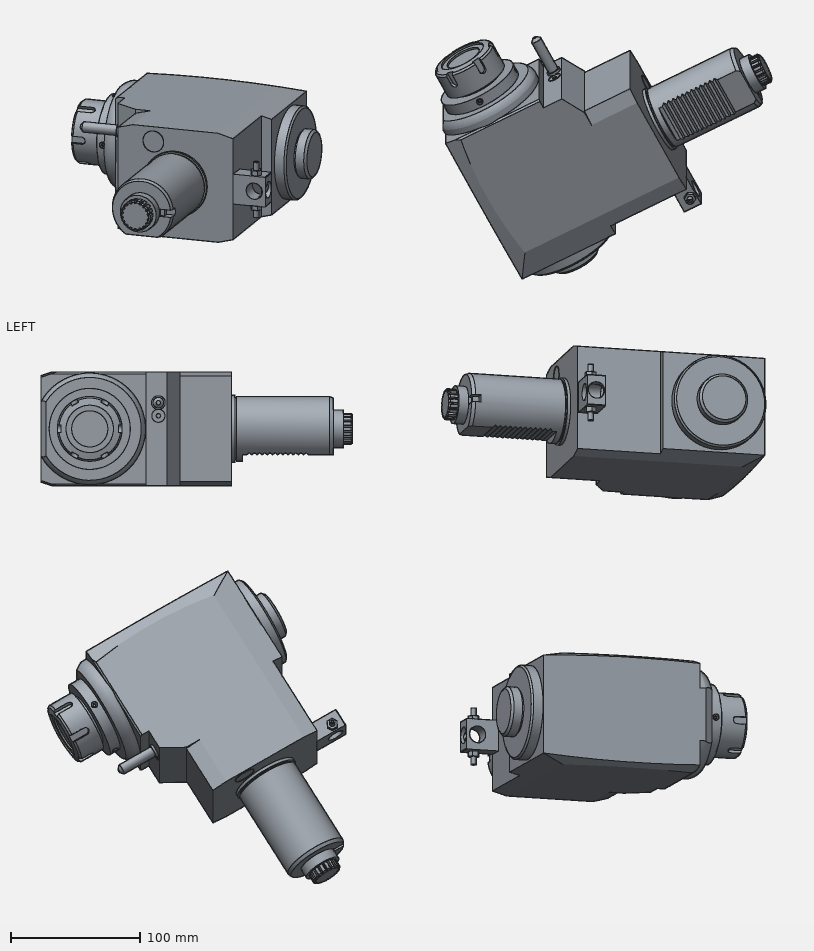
import cadquery as cq
import math


height = 88.0
half_height = height / 2
back_y = 147.5
nose_left_x = -72.5
nose_right_x = 55.2
nose_front_y = 66.0
waist_left_x = -65.0
slant_start_y = 50.1
slant_end_y = 39.8
foot_left_x = -47.0
foot_right_x = -foot_left_x
bevel_start_x = 35.0
bevel_slope = math.tan(math.radians(15))
nose_edge_chamfer = 1.5
crown_radius = 323.0
crown_center_x = -19.8
crown_top_y = 139.0
crown_slope = math.tan(math.radians(18))

spindle_y = 109.7
flange_start_x = -83.5
flange_radius = 43.1
flange_face_radius = 39.8
flange_round_length = 6.3
flange_bulge = 0.65
flange_flat_chamfer = 3.9
collar_start_x = -92.3
collar_radius = 31.3
collar_hole_count = 4
collar_hole_radius = 2.5
collar_hole_depth = 1.5
collar_socket_radius = 1.2
collar_socket_depth = 3.5
neck_radius = 20.5
nut_start_x = -117.0
nut_end_x = -94.7
nut_radius = 25.0
nut_corner_length = 1.7
nut_corner_radius = 23.9
nut_face_taper = 1.2
nut_mouth_radius = 18.3
nut_bore_radius = 14.0
nut_bore_depth = 1.5
nut_slot_count = 6
nut_slot_width = 5.8
nut_slot_length = 12.8
nut_long_slot_length = 16.5
nut_long_slots = (1, 2)
nut_slot_depth = 3.0
rear_disc_end_x = 64.3
rear_disc_radius = 36.6
rear_disc_chamfer = 1.5
rear_neck_radius = 17.4
rear_cap_start_x = 66.0
rear_cap_end_x = 75.0
rear_cap_radius = 19.3
rear_cap_chamfer = 2.0

shank_radius = 25.0
shank_end_y = -78.5
shank_chamfer_length = 3.0
shank_chamfer_depth = 1.2
shank_flange_radius = 26.0
shank_flange_thickness = 2.5
relief_radius = 24.0
relief_width = 1.2
shank_flat_z = -20.0
shank_flat_start_y = -8.5
rack_start_y = -11.5
rack_length = 48.0
rack_teeth = 12
rack_pitch = rack_length / rack_teeth
rack_depth = 1.5
key_width = 5.8
key_inner_x = 17.8
key_length = 7.2
key_step_length = 2.5
pilot_radius = 14.7
pilot_end_y = -86.3
spline_end_y = -93.5
spline_radius = 12.0
spline_root_radius = 10.1
spline_teeth = 18
spline_chamfer = 1.2

plug_x = -18.3
plug_z = 32.0
plug_radius = 8.5
plug_recess = 0.5
pin_y = 56.6
pin_z = 20.2
pin_radius = 4.0
pin_tip_x = -97.5
pin_tip_chamfer = 2.5
pin_base_radius = 5.3
pin_base_length = 2.0
screw_z = 10.1
screw_radius = 5.0
screw_recess = 0.5
screw_socket_radius = 1.7
screw_socket_depth = 2.5
lug_end_x = 73.3
lug_front_y = 0.7
lug_back_y = 15.5
lug_half_height = 12.0
lug_chamfer = 0.5
lug_stud_x = 64.0
lug_stud_y = 5.8
lug_hole_radius = 6.5
stud_radius = 2.2
stud_half_length = 22.2
stud_nut_flats = 7.7
stud_nut_height = 3.9
stud_socket_width = 2.2
stud_socket_depth = 1.5

overlap = 1.2


def box(x0, x1, y0, y1, z0, z1):
    return cq.Workplane("XY").box(x1 - x0, y1 - y0, z1 - z0, centered=False).translate((x0, y0, z0))


def rod_x(x0, x1, radius, y, z):
    """Cylinder along X between x0 and x1."""
    return cq.Workplane("YZ", origin=(x0, y, z)).circle(radius).extrude(x1 - x0)


def rod_y(y0, y1, radius, x=0.0, z=0.0):
    """Cylinder along Y from y0 back to the smaller y1."""
    return cq.Workplane("XZ", origin=(x, y0, z)).circle(radius).extrude(y0 - y1)


def make_housing():
    outline = [
        (nose_left_x, back_y), (nose_right_x, back_y),
        (nose_right_x, nose_front_y), (foot_right_x, nose_front_y),
        (foot_right_x, 0), (foot_left_x, 0),
        (foot_left_x, slant_end_y), (waist_left_x, slant_start_y),
        (waist_left_x, nose_front_y), (nose_left_x, nose_front_y),
    ]
    block = cq.Workplane("XY", origin=(0, 0, -half_height)).polyline(outline).close().extrude(height)

    bevel_drop = (nose_right_x - bevel_start_x) * bevel_slope
    upper = [
        (nose_left_x, half_height - nose_edge_chamfer),
        (nose_left_x + nose_edge_chamfer, half_height),
        (bevel_start_x, half_height),
        (nose_right_x, half_height - bevel_drop),
    ]
    lower = [(x, -z) for x, z in reversed(upper)]
    section = cq.Workplane("XZ", origin=(0, back_y, 0)).polyline(upper + lower).close().extrude(back_y)
    block = block.intersect(section)

    waist_radius = crown_radius + half_height / crown_slope
    crown = (
        cq.Workplane("XZ")
        .polyline([(0, -half_height), (crown_radius, -half_height), (waist_radius, 0),
                   (crown_radius, half_height), (0, half_height)])
        .close()
        .revolve(360, (0, 0, 0), (0, 1, 0))
        .translate((crown_center_x, crown_top_y - crown_radius, 0))
    )
    block = block.intersect(crown)

    foot_drop = (foot_right_x - bevel_start_x) * bevel_slope
    for side in (1, -1):
        wedge = (
            cq.Workplane("XZ", origin=(0, slant_end_y, 0))
            .polyline([(-bevel_start_x, side * half_height), (foot_left_x, side * half_height),
                       (foot_left_x, side * (half_height - foot_drop))])
            .close()
            .extrude(slant_end_y)
        )
        block = block.cut(wedge)
    return block.cut(rod_y(plug_recess, 0, plug_radius, plug_x, plug_z))


def make_flange():
    """Rounded disc in front of the housing, flattened level with its back."""
    round_end_x = flange_start_x + flange_round_length
    mid_point = (flange_start_x + flange_round_length / 2,
                 flange_face_radius + flange_bulge * (flange_radius - flange_face_radius))
    disc = (
        cq.Workplane("XY")
        .moveTo(flange_start_x, 0)
        .lineTo(flange_start_x, flange_face_radius)
        .threePointArc(mid_point, (round_end_x, flange_radius))
        .lineTo(nose_left_x + overlap, flange_radius)
        .lineTo(nose_left_x + overlap, 0)
        .close()
        .revolve(360, (0, 0, 0), (1, 0, 0))
        .translate((0, spindle_y, 0))
    )
    front_y = spindle_y - half_height
    keep = (
        cq.Workplane("XY", origin=(0, 0, -half_height))
        .polyline([(flange_start_x, front_y), (flange_start_x, back_y - flange_flat_chamfer),
                   (round_end_x, back_y), (nose_left_x + overlap, back_y),
                   (nose_left_x + overlap, front_y)])
        .close()
        .extrude(height)
    )
    return disc.intersect(keep)


def make_collar():
    collar = rod_x(collar_start_x, flange_start_x + overlap, collar_radius, spindle_y, 0)
    hole_x = (collar_start_x + flange_start_x) / 2
    top = cq.Workplane("XY", origin=(hole_x, spindle_y, collar_radius))
    hole = top.circle(collar_hole_radius).extrude(-collar_hole_depth)
    hole = hole.union(top.circle(collar_socket_radius).extrude(-collar_socket_depth))
    for i in range(collar_hole_count):
        collar = collar.cut(hole.rotate((0, spindle_y, 0), (1, spindle_y, 0), i * 360 / collar_hole_count))
    return collar.union(rod_x(nut_end_x - overlap, collar_start_x + overlap, neck_radius, spindle_y, 0))


def make_nut():
    """Collet nut with a tapered front and rounded wrench slots around the rim."""
    bore_floor_x = nut_start_x + nut_bore_depth
    corner_x = nut_start_x + nut_face_taper
    nut = (
        cq.Workplane("XY")
        .polyline([(bore_floor_x, 0), (bore_floor_x, nut_mouth_radius),
                   (nut_start_x, nut_mouth_radius), (corner_x, nut_corner_radius),
                   (corner_x + nut_corner_length, nut_radius), (nut_end_x, nut_radius), (nut_end_x, 0)])
        .close()
        .revolve(360, (0, 0, 0), (1, 0, 0))
        .cut(rod_x(bore_floor_x, bore_floor_x + nut_bore_depth, nut_bore_radius, 0, 0))
    )
    for i in range(nut_slot_count):
        length = nut_long_slot_length if i in nut_long_slots else nut_slot_length
        slot = (
            cq.Workplane("XZ", origin=(nut_start_x, nut_slot_depth - nut_radius, 0))
            .slot2D(2 * length, nut_slot_width)
            .extrude(2 * nut_slot_depth)
        )
        nut = nut.cut(slot.rotate((0, 0, 0), (1, 0, 0), -i * 360 / nut_slot_count))
    return nut.translate((0, spindle_y, 0))


def make_rear_cover():
    disc = rod_x(nose_right_x - overlap, rear_disc_end_x, rear_disc_radius, spindle_y, 0)
    disc = disc.faces(">X").chamfer(rear_disc_chamfer)
    neck = rod_x(rear_disc_end_x - overlap, rear_cap_start_x + overlap, rear_neck_radius, spindle_y, 0)
    cap = rod_x(rear_cap_start_x, rear_cap_end_x, rear_cap_radius, spindle_y, 0)
    return disc.union(neck).union(cap.faces(">X").chamfer(rear_cap_chamfer))


def make_shank():
    relief_end_y = -shank_flange_thickness - relief_width
    shank = rod_y(relief_end_y, shank_end_y, shank_radius)
    shank = shank.faces("<Y").chamfer(shank_chamfer_length, shank_chamfer_depth)
    shank = shank.union(rod_y(overlap, -shank_flange_thickness, shank_flange_radius))
    shank = shank.union(rod_y(0, relief_end_y - overlap, relief_radius))

    shank = shank.cut(box(-shank_radius, shank_radius, shank_end_y, shank_flat_start_y,
                          -shank_radius, shank_flat_z))
    for i in range(rack_teeth):
        y = rack_start_y - i * rack_pitch
        groove = (
            cq.Workplane("YZ", origin=(-shank_radius, 0, 0))
            .polyline([(y, shank_flat_z), (y - rack_pitch / 2, shank_flat_z + rack_depth),
                       (y - rack_pitch, shank_flat_z)])
            .close()
            .extrude(2 * shank_radius)
        )
        shank = shank.cut(groove)

    for inner_x, length in ((key_inner_x, key_length), (pilot_radius, key_step_length)):
        shank = shank.cut(box(inner_x, shank_radius, shank_end_y, shank_end_y + length,
                              -key_width / 2, key_width / 2))
    return shank


def make_spline():
    pilot = rod_y(shank_end_y + overlap, pilot_end_y, pilot_radius)
    spline = rod_y(pilot_end_y + overlap, spline_end_y, spline_radius).faces("<Y").chamfer(spline_chamfer)
    gap_half_angle = math.pi / spline_teeth / 2
    gap_half_width = spline_radius * math.sin(gap_half_angle)
    gap = (
        cq.Workplane("XZ", origin=(0, pilot_end_y, 0))
        .polyline([(spline_root_radius, -gap_half_width / 2), (spline_radius + overlap, -gap_half_width),
                   (spline_radius + overlap, gap_half_width), (spline_root_radius, gap_half_width / 2)])
        .close()
        .extrude(pilot_end_y - spline_end_y)
    )
    for i in range(spline_teeth):
        spline = spline.cut(gap.rotate((0, 0, 0), (0, 1, 0), (i + 0.5) * 360 / spline_teeth))
    return pilot.union(spline)


def make_pin():
    pin = rod_x(pin_tip_x, waist_left_x + overlap, pin_radius, pin_y, pin_z)
    base = rod_x(waist_left_x - pin_base_length, waist_left_x + overlap, pin_base_radius, pin_y, pin_z)
    return pin.faces("<X").chamfer(pin_tip_chamfer).union(base)


def make_screw_recess():
    recess = rod_x(waist_left_x, waist_left_x + screw_recess, screw_radius, pin_y, screw_z)
    return recess.union(
        rod_x(waist_left_x, waist_left_x + screw_socket_depth, screw_socket_radius, pin_y, screw_z))


def make_lug():
    """Side lug with crossing bores and a nutted stud on its upper and lower faces."""
    lug = box(foot_right_x - overlap, lug_end_x, lug_front_y, lug_back_y, -lug_half_height, lug_half_height)
    lug = lug.edges("|Y and >X").chamfer(lug_chamfer)
    lug_middle_y = (lug_front_y + lug_back_y) / 2
    bores = rod_y(lug_back_y, lug_front_y, lug_hole_radius, lug_stud_x)
    bores = bores.union(rod_x(lug_stud_x, lug_end_x, lug_hole_radius, lug_middle_y, 0))
    lug = lug.cut(bores)

    face = cq.Workplane("XY", origin=(lug_stud_x, lug_stud_y, lug_half_height))
    stud = face.circle(stud_radius).extrude(stud_half_length - lug_half_height)
    stud = stud.union(face.polygon(6, stud_nut_flats / math.cos(math.pi / 6)).extrude(stud_nut_height))
    socket = (
        cq.Workplane("XY", origin=(lug_stud_x, lug_stud_y, stud_half_length - stud_socket_depth))
        .polygon(6, stud_socket_width)
        .extrude(stud_socket_depth)
    )
    stud = stud.cut(socket)
    return lug.union(stud).union(stud.mirror("XY"))


result = make_housing().cut(make_screw_recess())
for feature in (make_flange(), make_collar(), make_nut(), make_rear_cover(),
                make_shank(), make_spline(), make_pin(), make_lug()):
    result = result.union(feature)